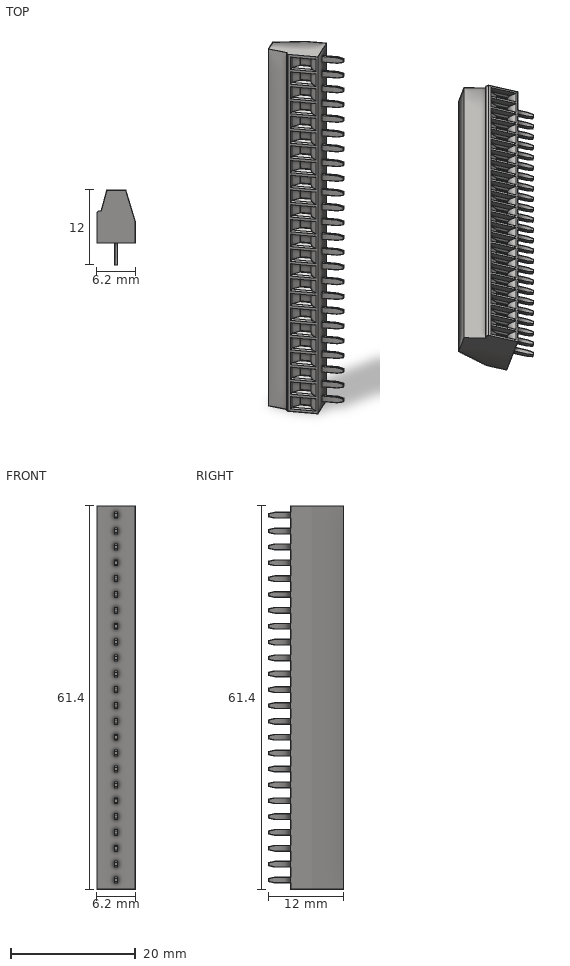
import cadquery as cq

POLE_COUNT = 24
PITCH = 2.54
BODY_WIDTH = 6.2
BODY_DEPTH = 8.5
BODY_HEIGHT = 61.42
FIRST_POLE_Z = (BODY_HEIGHT - (POLE_COUNT - 1) * PITCH) / 2

LEDGE_X = 0.7
LEDGE_Y = 5.2
LEDGE_CHAMFER = 0.3
CROWN_LEFT_X = 1.6
CROWN_RIGHT_X = 4.65
SHOULDER_Y = 3.4

MOUTH_FRONT_Y = 0.3
MOUTH_BACK_Y = 4.45
MOUTH_HEIGHT = 2.1
FLOOR_FRONT_Y = 1.4
FLOOR_BACK_Y = 3.2
FLOOR_HEIGHT = 1.45
FLOOR_RISE = 0.05
STRAIGHT_DEPTH = 0.8
FLOOR_DEPTH = 1.1
SOCKET_DEPTH = 0.3

PIN_X = BODY_WIDTH / 2
PIN_THICKNESS = 0.5
PIN_WIDTH = 0.95
PIN_TIP_WIDTH = 0.5
PIN_LENGTH = 3.5
PIN_TAPER_LENGTH = 1.0


def make_housing():
    """Straight housing with one constant cross-section."""
    outline = [
        (0, 0),
        (BODY_WIDTH, 0),
        (BODY_WIDTH, SHOULDER_Y),
        (CROWN_RIGHT_X, BODY_DEPTH),
        (CROWN_LEFT_X, BODY_DEPTH),
        (LEDGE_X, LEDGE_Y),
        (LEDGE_CHAMFER, LEDGE_Y),
        (0, LEDGE_Y - LEDGE_CHAMFER),
    ]
    return cq.Workplane("XY").polyline(outline).close().extrude(BODY_HEIGHT)


def loft_pocket(start, end):
    """Ruled solid between two rectangles facing +X, each (x, front_y, back_y, middle_z, height)."""
    start_x, start_front, start_back, start_z, start_height = start
    end_x, end_front, end_back, end_z, end_height = end
    start_center = (start_front + start_back) / 2
    end_center = (end_front + end_back) / 2
    return (
        cq.Workplane("YZ", origin=(start_x, start_center, start_z))
        .rect(start_back - start_front, start_height)
        .workplane(offset=end_x - start_x)
        .center(end_center - start_center, end_z - start_z)
        .rect(end_back - end_front, end_height)
        .loft(ruled=True)
    )


def make_funnel():
    """Pocket centred on Z=0 with a socket in its floor.

    The front wall slopes all the way from mouth to floor, the other walls only near the floor.
    """
    front_slope = (FLOOR_FRONT_Y - MOUTH_FRONT_Y) / FLOOR_DEPTH
    waist_front_y = MOUTH_FRONT_Y + front_slope * STRAIGHT_DEPTH
    mouth = (0, MOUTH_FRONT_Y, MOUTH_BACK_Y, 0, MOUTH_HEIGHT)
    waist = (STRAIGHT_DEPTH, waist_front_y, MOUTH_BACK_Y, 0, MOUTH_HEIGHT)
    floor = (FLOOR_DEPTH, FLOOR_FRONT_Y, FLOOR_BACK_Y, FLOOR_RISE, FLOOR_HEIGHT)
    socket_end = (FLOOR_DEPTH + SOCKET_DEPTH, FLOOR_FRONT_Y, FLOOR_BACK_Y, FLOOR_RISE, FLOOR_HEIGHT)
    pocket = loft_pocket(mouth, waist).union(loft_pocket(waist, floor))
    return pocket.union(loft_pocket(floor, socket_end))


def make_pin():
    """Flat pin centred on Z=0 that stands out of the base (-Y) and tapers at its tip."""
    taper_start = PIN_TAPER_LENGTH - PIN_LENGTH
    outline = [
        (0, -PIN_WIDTH / 2),
        (0, PIN_WIDTH / 2),
        (taper_start, PIN_WIDTH / 2),
        (-PIN_LENGTH, PIN_TIP_WIDTH / 2),
        (-PIN_LENGTH, -PIN_TIP_WIDTH / 2),
        (taper_start, -PIN_WIDTH / 2),
    ]
    return (
        cq.Workplane("YZ", origin=(PIN_X, 0, 0))
        .polyline(outline)
        .close()
        .extrude(PIN_THICKNESS / 2, both=True)
    )


result = make_housing()
funnel = make_funnel()
pin = make_pin()
for pole in range(POLE_COUNT):
    pole_offset = (0, 0, FIRST_POLE_Z + pole * PITCH)
    result = result.cut(funnel.translate(pole_offset)).union(pin.translate(pole_offset))